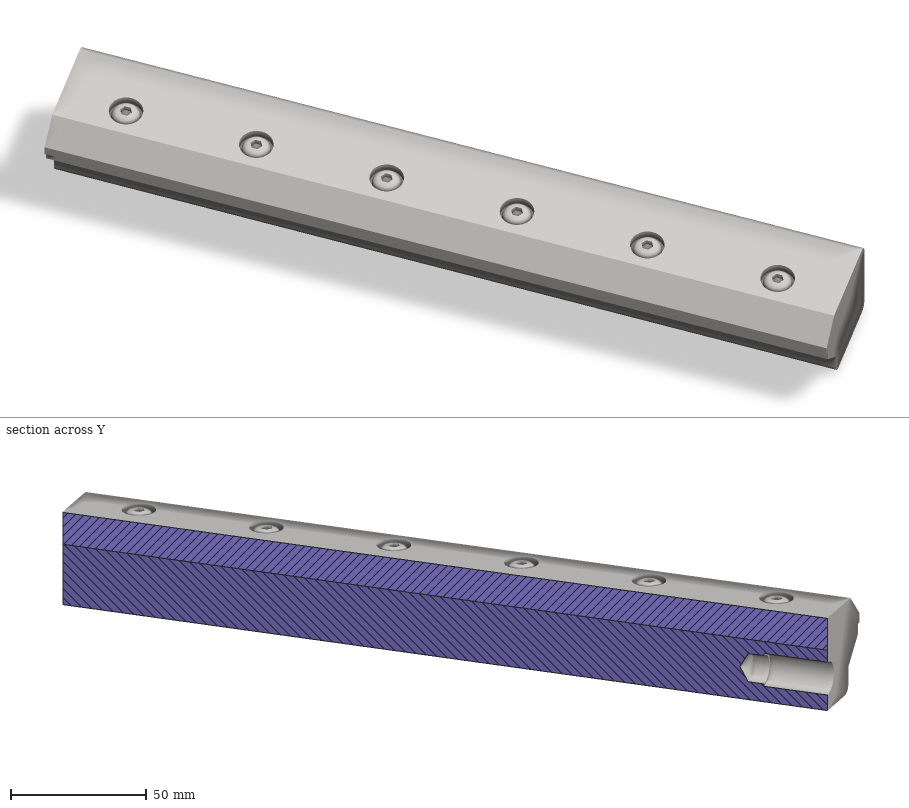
import cadquery as cq
import math

length = 304.8
depth = 44.5
height = 36.5
back_y = depth / 2
front_y = -depth / 2

top_rail_height = 12.8
bottom_rail_height = height - top_rail_height
corner_radius = 3.5
top_bevel = 8.8
front_setback = 1.5
front_lip_height = 4.3
undercut = 9.5
undercut_front_y = front_y + front_setback
foot_front_y = undercut_front_y + undercut

screw_count = 6
screw_pitch = length / screw_count
edge_margin = screw_pitch / 2
screw_y = back_y - edge_margin
screw_positions = [(i * screw_pitch + edge_margin - length / 2, screw_y) for i in range(screw_count)]

bore_diameter = 12.8
bore_depth = 25.3
drill_diameter = 11.0
drill_depth = 31.7
drill_point_angle = 118.0
bore_inset = edge_margin / 2
bore_y = back_y - bore_inset
bore_z = bore_inset

head_diameter = 11.0
head_height = 3.5
head_crown_diameter = 4.5
head_rounding = (head_diameter - head_crown_diameter) / 2
shank_diameter = 6.5
shank_length = 25.3
socket_width = 4.0
socket_depth = 2.0
counterbore_diameter = 12.8
counterbore_depth = head_height
clearance_diameter = 7.3
seat_z = height - counterbore_depth


def vertical_cylinders(diameter, top_z, bottom_z):
    """Cylinders at all the screw positions, running from top_z down to bottom_z."""
    return (
        cq.Workplane("XY", origin=(0, 0, bottom_z))
        .pushPoints(screw_positions)
        .circle(diameter / 2)
        .extrude(top_z - bottom_z)
    )


def extrude_profile(points):
    """Bar of full length from a closed outline of (y, z) points."""
    return cq.Workplane("YZ", origin=(-length / 2, 0, 0)).polyline(points).close().extrude(length)


def make_top_rail():
    """Bevelled upper rail with counterbored clearance holes."""
    rail = extrude_profile([
        (back_y, bottom_rail_height),
        (back_y, height),
        (front_y + top_bevel, height),
        (front_y, height - top_bevel),
        (front_y, bottom_rail_height),
    ])
    rail = rail.edges("|X and >Y and >Z").fillet(corner_radius)
    rail = rail.cut(vertical_cylinders(clearance_diameter, seat_z, bottom_rail_height))
    return rail.cut(vertical_cylinders(counterbore_diameter, height, seat_z))


def make_end_bore():
    """Cutter for the blind end bore, turned about its axis along X."""
    drill_radius = drill_diameter / 2
    bore_radius = bore_diameter / 2
    tip_length = drill_radius / math.tan(math.radians(drill_point_angle / 2))
    return (
        cq.Workplane("XY", origin=(-length / 2, bore_y, bore_z))
        .polyline([
            (0, 0),
            (0, bore_radius),
            (bore_depth, bore_radius),
            (bore_depth, drill_radius),
            (drill_depth, drill_radius),
            (drill_depth + tip_length, 0),
        ])
        .close()
        .revolve(360, (0, 0, 0), (1, 0, 0))
    )


def make_bottom_rail():
    """Undercut lower rail with screw holes and the end bore."""
    rail = extrude_profile([
        (back_y, 0),
        (back_y, bottom_rail_height),
        (undercut_front_y, bottom_rail_height),
        (undercut_front_y, bottom_rail_height - front_lip_height),
        (foot_front_y, bottom_rail_height - front_lip_height - undercut),
        (foot_front_y, 0),
    ])
    rail = rail.edges("|X and <Z").fillet(corner_radius)
    rail = rail.cut(vertical_cylinders(shank_diameter, bottom_rail_height, seat_z - shank_length))
    return rail.cut(make_end_bore())


def make_screw(x, y):
    """Button head screw seated on the counterbore floor at (x, y)."""
    shank = cq.Workplane("XY", origin=(0, 0, -shank_length)).circle(shank_diameter / 2).extrude(shank_length)
    head = cq.Workplane("XY").circle(head_diameter / 2).extrude(head_height)
    head = head.faces(">Z").edges().fillet(head_rounding)
    socket_corner_diameter = socket_width / math.cos(math.pi / 6)
    socket = (
        cq.Workplane("XY", origin=(0, 0, head_height - socket_depth))
        .polygon(6, socket_corner_diameter)
        .extrude(socket_depth)
    )
    return shank.union(head).cut(socket).translate((x, y, seat_z))


top_rail = make_top_rail()
bottom_rail = make_bottom_rail()
screws = [make_screw(x, y) for x, y in screw_positions]

result = cq.Compound.makeCompound([top_rail.val(), bottom_rail.val(), *[screw.val() for screw in screws]])